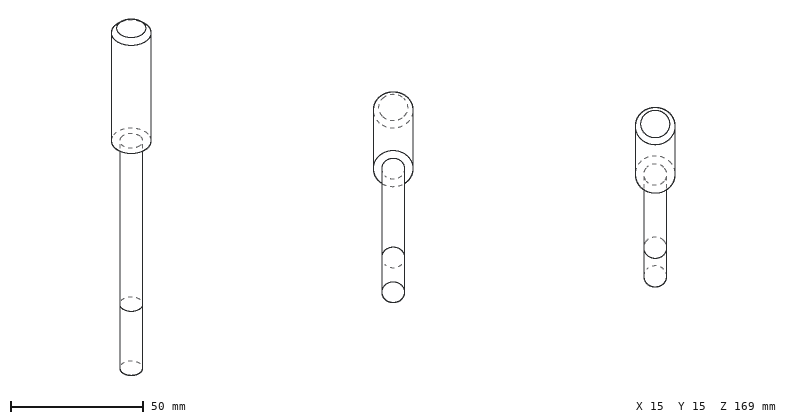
import cadquery as cq
import math

total_length = 169.0
head_diameter = 15.0
head_length = 55.1
head_chamfer_height = 2.2
head_chamfer_width = 2.0
shank_diameter = 8.6
drill_length = 34.0
point_angle = 118.0

head_radius = head_diameter / 2
shank_radius = shank_diameter / 2
point_height = shank_radius / math.tan(math.radians(point_angle / 2))

top_z = total_length / 2
head_bottom_z = top_z - head_length
point_z = -total_length / 2
joint_z = point_z + drill_length


def make_holder():
    """Chamfered cylindrical head with its slimmer shank, revolved about Z."""
    return (
        cq.Workplane("XZ")
        .moveTo(0, joint_z)
        .lineTo(shank_radius, joint_z)
        .lineTo(shank_radius, head_bottom_z)
        .lineTo(head_radius, head_bottom_z)
        .lineTo(head_radius, top_z - head_chamfer_height)
        .lineTo(head_radius - head_chamfer_width, top_z)
        .lineTo(0, top_z)
        .close()
        .revolve(360, (0, 0), (0, 1))
    )


def make_drill_tip():
    """Round tip with a conical point, butting against the end of the shank."""
    return (
        cq.Workplane("XZ")
        .moveTo(0, point_z)
        .lineTo(shank_radius, point_z + point_height)
        .lineTo(shank_radius, joint_z)
        .lineTo(0, joint_z)
        .close()
        .revolve(360, (0, 0), (0, 1))
    )


holder = make_holder()
drill_tip = make_drill_tip()

result = cq.Compound.makeCompound([holder.val(), drill_tip.val()])